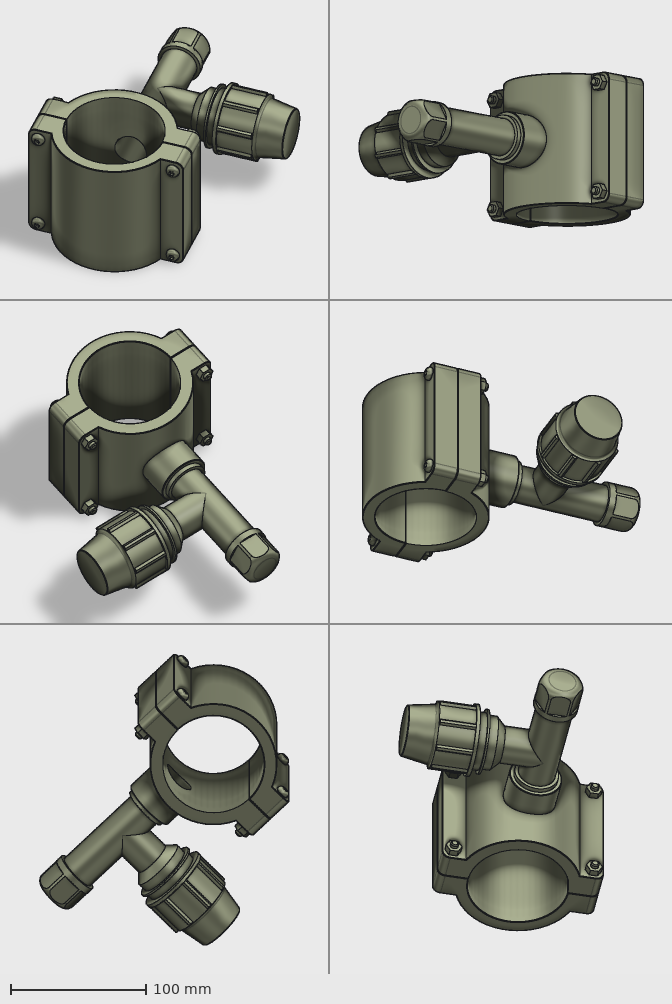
import cadquery as cq
import math

CLAMP_HEIGHT = 98.0
CLAMP_RADIUS = 47.0
BORE_RADIUS = 37.5
FLANGE_HALF_WIDTH = 60.9
FLANGE_THICKNESS = 18.9
FLANGE_CORNER_RADIUS = 6.0
EDGE_CHAMFER = 0.54

BOLT_X = 53.0
BOLT_Z = 41.0
SHANK_DIAMETER = 6.0
SHANK_END = 27.0
SHANK_CHAMFER = 0.9
NUT_ACROSS_FLATS = 10.5
NUT_HEIGHT = 5.0
HEAD_DIAMETER = 10.0
HEAD_HEIGHT = 4.0
HEAD_ROUNDING = 3.5
SOCKET_ACROSS_FLATS = 3.6
SOCKET_DEPTH = 2.0

OVERALL_LENGTH = 214.4
RUN_END = OVERALL_LENGTH - CLAMP_RADIUS
BOSS_DIAMETER = 39.5
BOSS_END = 66.9
OUTLET_DIAMETER = 25.0
COLLAR_DIAMETER = 33.2
COLLAR_END = 70.5
PIPE_DIAMETER = 27.9

CAP_START = 141.0
CAP_HEX_START = 146.5
CAP_ACROSS_FLATS = 29.8
CAP_ROUNDING = 6.5

BRANCH_Y = 94.3
CONE_START = 31.3
SLEEVE_START = 37.7
SLEEVE_DIAMETER = 40.5
RING_START = 44.8
RING_END = 46.3
RING_DIAMETER = 48.7
NECK_DIAMETER = 43.3
RIM_START = 52.5
RIM_END = 55.3
RIM_DIAMETER = 54.0
GRIP_DIAMETER = 50.2
GRIP_END = 83.0
TAIL_START = 85.1
TAIL_START_DIAMETER = 45.0
TAIL_END = 105.0
TAIL_END_DIAMETER = 38.4

RIB_COUNT = 8
RIB_TIP_RADIUS = 27.0
RIB_TIP_WIDTH = 2.1
RIB_FOOT_WIDTH = 4.7
RIB_END = 82.3
RIB_SINK = 2.1


def cylinder_along_y(diameter, start, end):
    """Cylinder on the Y axis between two positions."""
    base = cq.Workplane("XZ", origin=(0, start, 0))
    return base.circle(diameter / 2).extrude(start - end)


def hexagon_along_y(across_flats, start, end):
    """Hexagonal bar on the Y axis with two flats facing up and down."""
    base = cq.Workplane("XZ", origin=(0, start, 0))
    return base.polygon(6, across_flats / math.cos(math.pi / 6)).extrude(start - end)


def clamp_half():
    """Solid clamp half on the +Y side, before boring."""
    flange = (
        cq.Workplane("XY")
        .box(2 * FLANGE_HALF_WIDTH, FLANGE_THICKNESS, CLAMP_HEIGHT)
        .translate((0, FLANGE_THICKNESS / 2, 0))
        .edges("|Y")
        .fillet(FLANGE_CORNER_RADIUS)
        .faces("<Y or >Y")
        .chamfer(EDGE_CHAMFER)
    )
    shell = (
        cq.Workplane("XY")
        .cylinder(CLAMP_HEIGHT, CLAMP_RADIUS)
        .faces("<Z or >Z")
        .chamfer(EDGE_CHAMFER)
    )
    shell_side = (
        cq.Workplane("XY")
        .box(2 * CLAMP_RADIUS, CLAMP_RADIUS, CLAMP_HEIGHT)
        .translate((0, EDGE_CHAMFER + CLAMP_RADIUS / 2, 0))
    )
    return flange.union(shell.intersect(shell_side))


def bolt():
    """Button-head bolt with its nut, centred on the Y axis."""
    shank = (
        cylinder_along_y(SHANK_DIAMETER, -FLANGE_THICKNESS, SHANK_END)
        .faces(">Y")
        .chamfer(SHANK_CHAMFER)
    )
    nut = hexagon_along_y(NUT_ACROSS_FLATS, FLANGE_THICKNESS, FLANGE_THICKNESS + NUT_HEIGHT)
    head_top = -FLANGE_THICKNESS - HEAD_HEIGHT
    head = (
        cylinder_along_y(HEAD_DIAMETER, head_top, -FLANGE_THICKNESS)
        .faces("<Y")
        .edges()
        .fillet(HEAD_ROUNDING)
    )
    socket = hexagon_along_y(SOCKET_ACROSS_FLATS, head_top, head_top + SOCKET_DEPTH)
    return shank.union(nut).union(head).cut(socket)


def clamp():
    """Both clamp halves and the four bolts; only the lower half has chamfered bore edges."""
    bore = cq.Workplane("XY").cylinder(CLAMP_HEIGHT, BORE_RADIUS)
    upper = clamp_half().cut(bore)
    rim = (
        cq.Workplane("XY", origin=(0, 0, CLAMP_HEIGHT / 2 - EDGE_CHAMFER))
        .circle(BORE_RADIUS)
        .workplane(offset=EDGE_CHAMFER)
        .circle(BORE_RADIUS + EDGE_CHAMFER)
        .loft()
    )
    parting_edges = (
        cq.Workplane("XY", origin=(0, 0, -CLAMP_HEIGHT / 2))
        .pushPoints([(-BORE_RADIUS, 0), (BORE_RADIUS, 0)])
        .polygon(4, 2 * EDGE_CHAMFER)
        .extrude(CLAMP_HEIGHT)
    )
    lower = clamp_half().mirror("XZ").cut(bore).cut(rim).cut(rim.mirror("XY")).cut(parting_edges)
    body = upper.union(lower)
    for x in (-BOLT_X, BOLT_X):
        for z in (-BOLT_Z, BOLT_Z):
            body = body.union(bolt().translate((x, 0, z)))
    return body


def cap():
    """Hexagonal cap with trimmed corners and a rounded end."""
    blank = (
        cylinder_along_y(COLLAR_DIAMETER, CAP_START, RUN_END)
        .faces(">Y")
        .edges()
        .fillet(CAP_ROUNDING)
    )
    collar = cylinder_along_y(COLLAR_DIAMETER, CAP_START, CAP_HEX_START)
    hexagon = hexagon_along_y(CAP_ACROSS_FLATS, CAP_HEX_START, RUN_END)
    return blank.intersect(collar.union(hexagon))


def run():
    """Boss, collar, straight pipe and cap standing on the clamp."""
    boss_root = (BORE_RADIUS + CLAMP_RADIUS) / 2
    boss = (
        cylinder_along_y(BOSS_DIAMETER, boss_root, BOSS_END)
        .faces(">Y")
        .chamfer(EDGE_CHAMFER)
    )
    collar = cylinder_along_y(COLLAR_DIAMETER, BOSS_END, COLLAR_END)
    pipe = cylinder_along_y(PIPE_DIAMETER, COLLAR_END, CAP_START)
    return boss.union(collar).union(pipe).union(cap())


def branch():
    """Side pipe and turned coupling body, with finger ribs around the grip."""
    fitting_steps = [
        (0, PIPE_DIAMETER),
        (CONE_START, PIPE_DIAMETER),
        (SLEEVE_START, SLEEVE_DIAMETER),
        (RING_START, SLEEVE_DIAMETER),
        (RING_START, RING_DIAMETER),
        (RING_END, RING_DIAMETER),
        (RING_END, NECK_DIAMETER),
        (RIM_START, NECK_DIAMETER),
        (RIM_START, RIM_DIAMETER),
        (RIM_END, RIM_DIAMETER),
        (RIM_END, GRIP_DIAMETER),
    ]
    outline = [(0, 0)] + [(x, diameter / 2) for x, diameter in fitting_steps]
    body = (
        cq.Workplane("XY")
        .moveTo(TAIL_END, 0)
        .lineTo(TAIL_END, TAIL_END_DIAMETER / 2 - EDGE_CHAMFER)
        .lineTo(TAIL_END - EDGE_CHAMFER, TAIL_END_DIAMETER / 2)
        .lineTo(TAIL_START, TAIL_START_DIAMETER / 2)
        .tangentArcPoint((GRIP_END, GRIP_DIAMETER / 2), relative=False)
    )
    for point in reversed(outline):
        body = body.lineTo(*point)
    body = body.close().revolve(360, (0, 0), (1, 0))

    foot_radius = math.sqrt((GRIP_DIAMETER / 2) ** 2 - (RIB_FOOT_WIDTH / 2) ** 2)
    sunk_radius = foot_radius - RIB_SINK
    rib_section = [
        (-RIB_FOOT_WIDTH / 2, sunk_radius),
        (-RIB_FOOT_WIDTH / 2, foot_radius),
        (-RIB_TIP_WIDTH / 2, RIB_TIP_RADIUS),
        (RIB_TIP_WIDTH / 2, RIB_TIP_RADIUS),
        (RIB_FOOT_WIDTH / 2, foot_radius),
        (RIB_FOOT_WIDTH / 2, sunk_radius),
    ]
    rib = (
        cq.Workplane("YZ", origin=(RIM_END, 0, 0))
        .polyline(rib_section)
        .close()
        .extrude(RIB_END - RIM_END)
    )
    pitch = 360 / RIB_COUNT
    for index in range(RIB_COUNT):
        body = body.union(rib.rotate((0, 0, 0), (1, 0, 0), (index + 0.5) * pitch))
    return body.translate((0, BRANCH_Y, 0))


outlet = cylinder_along_y(OUTLET_DIAMETER, 0, BOSS_END)
result = clamp().union(run()).union(branch()).cut(outlet)